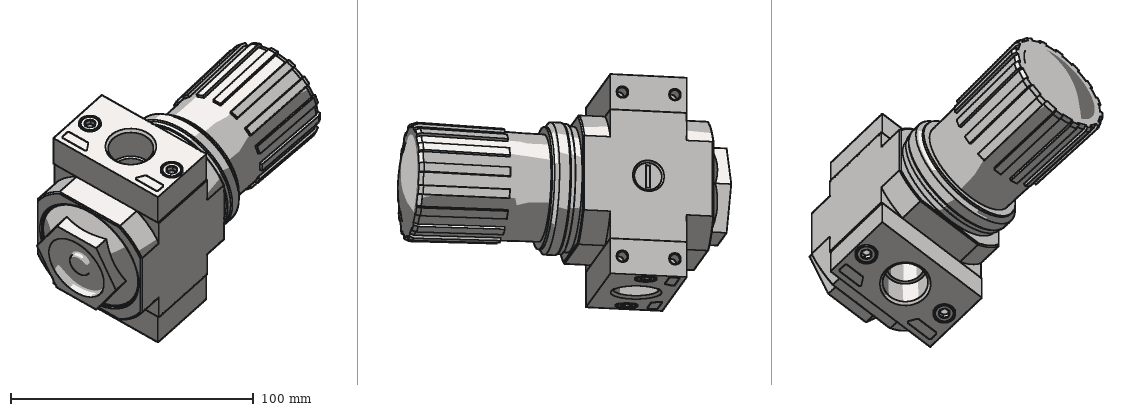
import cadquery as cq
import math


HOUSING_WIDTH = 55.0
HALF_WIDTH = HOUSING_WIDTH / 2
HALF_LENGTH = 27.5
CORNER_DIAMETER = 63.5
END_CHAMFER_AXIAL = 0.7
END_CHAMFER_RADIAL = 0.4
FLANGE_LENGTH = 32.0
FLOW_BORE_DIAMETER = 16.0

NECK_RADIUS = 26.0
LAND_RADIUS = 26.9
LAND_START = 30.4
LAND_END = 32.2
COLLAR_RADIUS = 27.4
COLLAR_START = 32.8
COLLAR_END = 37.2
COLLAR_CONE_RADIUS = 26.5
COLLAR_CONE_START = 37.7
LIP_RADIUS = 25.3
LIP_START = 38.9
LIP_END = 39.8

CAP_SEAT_RADIUS = 25.5
CAP_SEAT_CHAMFER = 0.5
CAP_SEAT_DEPTH = 8.0
CAP_END = 36.0
CAP_CONE_LARGE_RADIUS = 24.9
CAP_CONE_START = 26.6
CAP_CONE_SMALL_RADIUS = 17.5
CAP_CONE_END = 31.4
HEX_ACROSS_FLATS = 36.0
CAP_RECESS_DIAMETER = 29.0
CAP_RECESS_FLOOR_DIAMETER = 26.4
CAP_RECESS_DEPTH = 3.5
CAP_BOSS_DIAMETER = 10.3
CAP_BOSS_HEIGHT = 2.1
CAP_BOSS_FILLET = 1.0

KNOB_BOTTOM_RADIUS = 22.2
KNOB_TOP_RADIUS = 23.3
KNOB_BEVEL_AXIAL = 1.9
KNOB_BEVEL_RADIAL = 0.7
KNOB_SHOULDER = 95.3
DOME_DIAMETER = 39.0
DOME_TOP = 99.0
RIB_COUNT = 16
RIB_WIDTH = 3.75
RIB_START = 57.0
RIB_START_RADIUS = 23.7
RIB_END_RADIUS = 24.5
RIB_ROOT_RADIUS = 20.0

PLATE_THICKNESS = 15.0
PLATE_LEFT = -28.0
PLATE_WIDTH = 55.0
PLATE_RIGHT = PLATE_LEFT + PLATE_WIDTH
PLATE_OUTER_Z = HALF_WIDTH + PLATE_THICKNESS
PORT_DIAMETER = 18.63
PORT_CHAMFER_DIAMETER = 20.955
SIDE_HOLE_DIAMETER = 4.13
SIDE_HOLE_CHAMFER_DIAMETER = 5.0
SIDE_HOLE_DEPTH = 8.0
SIDE_HOLE_Y = 11.0
SIDE_HOLE_Z = 35.0
DRILL_POINT_ANGLE = 118.0
LABEL_INNER_X = 12.5
LABEL_EDGE_GAP = 2.3
LABEL_TOP = -9.1
LABEL_BOTTOM = -13.5
LABEL_SLANT = 2.6
LABEL_DEPTH = 0.2
LABEL_CORNER_RADIUS = 0.7

SCREW_X = 21.5
SCREW_HEAD_DIAMETER = 8.5
SCREW_HEAD_HEIGHT = 5.0
SCREW_HEAD_CHAMFER = 0.5
SCREW_BORE_DIAMETER = 9.2
SCREW_SHANK_DIAMETER = 5.0
SCREW_ENGAGEMENT = 8.0
SOCKET_ACROSS_FLATS = 4.0
SOCKET_DEPTH = 2.5

PLUG_DIAMETER = 11.45
PLUG_CHAMFER_DIAMETER = 13.16
PLUG_LENGTH = 6.0
PLUG_SLOT_LENGTH = 9.6
PLUG_SLOT_WIDTH = 1.65
PLUG_SLOT_DEPTH = 1.2


def cylinder_y(radius, y_start, y_end):
    """Solid cylinder on the Y axis from y_start up to y_end."""
    return cq.Workplane("XZ", origin=(0, y_end, 0)).circle(radius).extrude(y_end - y_start)


def revolve_y(profile):
    """Turns a closed XY outline around the Y axis."""
    return profile.close().revolve(360, (0, 0, 0), (0, 1, 0))


def turned_y(points):
    """Turned solid on the Y axis from (radius, y) points."""
    return revolve_y(cq.Workplane("XY").polyline(points))


def hexagon_corner_diameter(across_flats):
    """Diameter of the circle through the corners of a hexagon."""
    return across_flats / math.cos(math.pi / 6)


def chamfered_hole(diameter, rim_diameter, depth):
    """Hole cutter going down -Z from the origin, with a 45 degree rim and a drill point."""
    radius = diameter / 2
    rim_radius = rim_diameter / 2
    point_depth = radius / math.tan(math.radians(DRILL_POINT_ANGLE / 2))
    outline = [
        (0, 0),
        (rim_radius, 0),
        (radius, radius - rim_radius),
        (radius, -depth),
        (0, -depth - point_depth),
    ]
    return cq.Workplane("XZ").polyline(outline).close().revolve(360, (0, 0, 0), (0, 1, 0))


def make_plug_hole():
    """Chamfered round seat for the side plug in the -X face."""
    chamfer = (PLUG_CHAMFER_DIAMETER - PLUG_DIAMETER) / 2
    mouth = cq.Workplane("YZ", origin=(-HALF_WIDTH, 0, 0)).circle(PLUG_CHAMFER_DIAMETER / 2)
    mouth = mouth.workplane(offset=chamfer).circle(PLUG_DIAMETER / 2).loft()
    seat_start = -HALF_WIDTH + chamfer
    seat = cq.Workplane("YZ", origin=(seat_start, 0, 0)).circle(PLUG_DIAMETER / 2).extrude(PLUG_LENGTH)
    return mouth.union(seat)


def make_collar():
    """Stepped collar that carries the knob."""
    return turned_y([
        (0, 0),
        (NECK_RADIUS, 0),
        (NECK_RADIUS, LAND_START),
        (LAND_RADIUS, LAND_START),
        (LAND_RADIUS, LAND_END),
        (COLLAR_RADIUS, COLLAR_START),
        (COLLAR_RADIUS, COLLAR_END),
        (COLLAR_CONE_RADIUS, COLLAR_CONE_START),
        (LIP_RADIUS, LIP_START),
        (LIP_RADIUS, LIP_END),
        (0, LIP_END),
    ])


def make_cap_seat():
    """Round recess for the cap in the -Y end, with a chamfered mouth."""
    return turned_y([
        (0, -HALF_LENGTH + CAP_SEAT_DEPTH),
        (CAP_SEAT_RADIUS, -HALF_LENGTH + CAP_SEAT_DEPTH),
        (CAP_SEAT_RADIUS, -HALF_LENGTH + CAP_SEAT_CHAMFER),
        (CAP_SEAT_RADIUS + CAP_SEAT_CHAMFER, -HALF_LENGTH),
        (0, -HALF_LENGTH),
    ])


def screw_positions(z):
    """Points of the two screw axes at height z."""
    return [(-SCREW_X, 0, z), (SCREW_X, 0, z)]


def make_housing(screws):
    """Housing with rounded corners, collar, flow bore, and seats for the cap, side plug and screws."""
    square_bar = cq.Workplane("XY").box(HOUSING_WIDTH, 2 * HALF_LENGTH, HOUSING_WIDTH)
    housing = square_bar.intersect(cylinder_y(CORNER_DIAMETER / 2, -HALF_LENGTH, HALF_LENGTH))
    housing = housing.faces("<Y or >Y").chamfer(END_CHAMFER_AXIAL, END_CHAMFER_RADIAL)
    housing = housing.union(cq.Workplane("XY").box(HOUSING_WIDTH, FLANGE_LENGTH, HOUSING_WIDTH))
    housing = housing.union(make_collar())
    housing = housing.cut(make_cap_seat())
    housing = housing.cut(make_plug_hole())
    flow_bore = cq.Workplane("XY").circle(FLOW_BORE_DIAMETER / 2).extrude(HALF_WIDTH, both=True)
    housing = housing.cut(flow_bore)
    for screw in screws:
        housing = housing.cut(screw)
    return housing


def make_cap():
    """Turned cap with a conical face, a hexagon and a recess with a small boss in its end."""
    cone = turned_y([
        (0, -HALF_LENGTH + CAP_SEAT_DEPTH),
        (CAP_SEAT_RADIUS, -HALF_LENGTH + CAP_SEAT_DEPTH),
        (CAP_SEAT_RADIUS, -CAP_CONE_START),
        (CAP_CONE_LARGE_RADIUS, -CAP_CONE_START),
        (CAP_CONE_SMALL_RADIUS, -CAP_CONE_END),
        (0, -CAP_CONE_END),
    ])
    hex_corner_diameter = hexagon_corner_diameter(HEX_ACROSS_FLATS)
    hexagon = cq.Workplane("XZ", origin=(0, -CAP_CONE_START, 0)).polygon(6, hex_corner_diameter)
    hexagon = hexagon.extrude(CAP_END - CAP_CONE_START)

    recess_floor = -CAP_END + CAP_RECESS_DEPTH
    recess = cylinder_y(CAP_RECESS_DIAMETER / 2, -CAP_END, recess_floor)
    floor_fillet = (CAP_RECESS_DIAMETER - CAP_RECESS_FLOOR_DIAMETER) / 2
    recess = recess.faces(">Y").edges().fillet(floor_fillet)

    boss_radius = CAP_BOSS_DIAMETER / 2
    boss_top = recess_floor - CAP_BOSS_HEIGHT
    fillet = CAP_BOSS_FILLET
    round_over = fillet * math.sqrt(0.5)
    boss = revolve_y(
        cq.Workplane("XY")
        .moveTo(0, recess_floor)
        .lineTo(boss_radius + fillet, recess_floor)
        .threePointArc(
            (boss_radius + fillet - round_over, recess_floor - fillet + round_over),
            (boss_radius, recess_floor - fillet),
        )
        .lineTo(boss_radius, boss_top + fillet)
        .threePointArc(
            (boss_radius - fillet + round_over, boss_top + fillet - round_over),
            (boss_radius - fillet, boss_top),
        )
        .lineTo(0, boss_top)
    )
    return cone.union(hexagon).cut(recess).union(boss)


def bevel_upper_edge(outline, radius):
    """Continues an XY outline up to the given radius and over the bevel to the knob shoulder."""
    outline = outline.lineTo(radius, KNOB_SHOULDER - KNOB_BEVEL_AXIAL)
    return outline.lineTo(radius - KNOB_BEVEL_RADIAL, KNOB_SHOULDER)


def make_knob():
    """Tapered knob with a domed top and evenly spaced grip ribs."""
    dome_radius = DOME_DIAMETER / 2
    dome_height = DOME_TOP - KNOB_SHOULDER
    dome_sphere_radius = (dome_radius**2 + dome_height**2) / (2 * dome_height)
    mid_angle = math.asin(dome_radius / dome_sphere_radius) / 2
    dome_middle = (
        dome_sphere_radius * math.sin(mid_angle),
        DOME_TOP - dome_sphere_radius * (1 - math.cos(mid_angle)),
    )
    side = cq.Workplane("XY").moveTo(0, LIP_END).lineTo(KNOB_BOTTOM_RADIUS, LIP_END)
    shoulder = bevel_upper_edge(side, KNOB_TOP_RADIUS).lineTo(dome_radius, KNOB_SHOULDER)
    knob = revolve_y(shoulder.threePointArc(dome_middle, (0, DOME_TOP)))

    rib_side = cq.Workplane("XY").moveTo(RIB_ROOT_RADIUS, RIB_START).lineTo(RIB_START_RADIUS, RIB_START)
    rib_outline = bevel_upper_edge(rib_side, RIB_END_RADIUS).lineTo(RIB_ROOT_RADIUS, KNOB_SHOULDER)
    rib = rib_outline.close().extrude(RIB_WIDTH / 2, both=True)
    for index in range(RIB_COUNT):
        knob = knob.union(rib.rotate((0, 0, 0), (0, 1, 0), index * 360 / RIB_COUNT))
    return knob


def label_pocket(inner_x, outer_x):
    """Shallow label recess whose inner end slants towards the port."""
    slant = math.copysign(LABEL_SLANT, outer_x - inner_x)
    outline = [
        (inner_x, LABEL_BOTTOM),
        (outer_x, LABEL_BOTTOM),
        (outer_x, LABEL_TOP),
        (inner_x + slant, LABEL_TOP),
    ]
    floor = cq.Workplane("XY", origin=(0, 0, PLATE_OUTER_Z - LABEL_DEPTH))
    pocket = floor.polyline(outline).close().extrude(LABEL_DEPTH)
    return pocket.edges("|Z").fillet(LABEL_CORNER_RADIUS)


def make_plate():
    """Upper connection plate with its port, screw bores, side holes and label recesses."""
    plate_middle = ((PLATE_LEFT + PLATE_RIGHT) / 2, 0, HALF_WIDTH)
    plate = cq.Workplane("XY", origin=plate_middle).rect(PLATE_WIDTH, FLANGE_LENGTH)
    plate = plate.extrude(PLATE_THICKNESS)

    port = chamfered_hole(PORT_DIAMETER, PORT_CHAMFER_DIAMETER, PLATE_THICKNESS)
    plate = plate.cut(port.translate((0, 0, PLATE_OUTER_Z)))

    head_seat_z = PLATE_OUTER_Z - SCREW_HEAD_HEIGHT
    for position in screw_positions(HALF_WIDTH):
        axis = cq.Workplane("XY", origin=position)
        plate = plate.cut(axis.circle(SCREW_SHANK_DIAMETER / 2).extrude(PLATE_THICKNESS))
    for position in screw_positions(head_seat_z):
        axis = cq.Workplane("XY", origin=position)
        plate = plate.cut(axis.circle(SCREW_BORE_DIAMETER / 2).extrude(SCREW_HEAD_HEIGHT))

    side_hole = chamfered_hole(SIDE_HOLE_DIAMETER, SIDE_HOLE_CHAMFER_DIAMETER, SIDE_HOLE_DEPTH)
    side_hole = side_hole.rotate((0, 0, 0), (0, 1, 0), -90)
    for y in (-SIDE_HOLE_Y, SIDE_HOLE_Y):
        plate = plate.cut(side_hole.translate((PLATE_LEFT, y, SIDE_HOLE_Z)))

    plate = plate.cut(label_pocket(-LABEL_INNER_X, PLATE_LEFT + LABEL_EDGE_GAP))
    plate = plate.cut(label_pocket(LABEL_INNER_X, PLATE_RIGHT - LABEL_EDGE_GAP))
    return plate


def make_screw():
    """Socket head screw on the Z axis, its head flush with the upper plate face."""
    head_bottom = PLATE_OUTER_Z - SCREW_HEAD_HEIGHT
    head = cq.Workplane("XY", origin=(0, 0, head_bottom)).circle(SCREW_HEAD_DIAMETER / 2)
    head = head.extrude(SCREW_HEAD_HEIGHT).faces(">Z").chamfer(SCREW_HEAD_CHAMFER)
    shank_bottom = HALF_WIDTH - SCREW_ENGAGEMENT
    shank = cq.Workplane("XY", origin=(0, 0, shank_bottom)).circle(SCREW_SHANK_DIAMETER / 2)
    shank = shank.extrude(head_bottom - shank_bottom)
    corner_diameter = hexagon_corner_diameter(SOCKET_ACROSS_FLATS)
    socket = chamfered_hole(SOCKET_ACROSS_FLATS, corner_diameter, SOCKET_DEPTH)
    socket = socket.union(cq.Workplane("XY").polygon(6, corner_diameter).extrude(-SOCKET_DEPTH))
    return head.union(shank).cut(socket.translate((0, 0, PLATE_OUTER_Z)))


def make_side_plug():
    """Slotted plug filling the round seat in the -X face."""
    outer_face = -HALF_WIDTH + (PLUG_CHAMFER_DIAMETER - PLUG_DIAMETER) / 2
    face_plane = cq.Workplane("YZ", origin=(outer_face, 0, 0))
    plug = face_plane.circle(PLUG_DIAMETER / 2).extrude(PLUG_LENGTH)
    slot = face_plane.rect(PLUG_SLOT_WIDTH, PLUG_SLOT_LENGTH).extrude(PLUG_SLOT_DEPTH)
    return plug.cut(slot)


upper_plate = make_plate()
plates = [upper_plate, upper_plate.mirror("XY")]

screws = []
for screw_position in screw_positions(0):
    upper_screw = make_screw().translate(screw_position)
    screws.append(upper_screw)
    screws.append(upper_screw.mirror("XY"))

housing = make_housing(screws)
cap = make_cap()
knob = make_knob()
side_plug = make_side_plug()

bodies = [housing, cap, knob, side_plug, *plates, *screws]
result = cq.Compound.makeCompound([body.solids().val() for body in bodies])